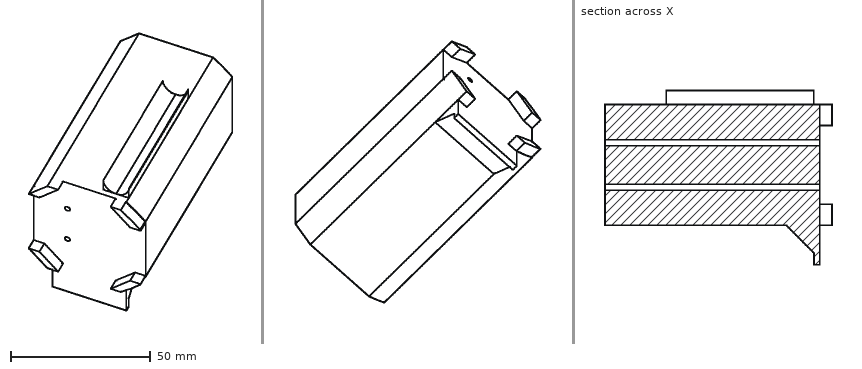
import cadquery as cq
import math

total_length = 81.5
tooth_length = 4.4
housing_length = total_length - tooth_length
housing_width = 43.97
housing_height = 43.47
flat_width = 29.04
left_chamfer = 7.38
right_chamfer_drop = 7.1
bend_run = 3.9
bend_drop = 3.4

left_flat_x = -flat_width / 2
right_flat_x = flat_width / 2
left_x = left_flat_x - left_chamfer
right_x = left_x + housing_width
top_z = housing_height / 2

tooth_thickness = 3.0
tooth_offset = tooth_thickness * math.sqrt(2)
right_tooth_drop = 7.62
tooth_inset = 0.25
first_bend_run = 1.95
first_bend_drop = 2.1
second_bend_run = 3.6

bracket_drop = 14.14
plate_thickness = 2.15
gusset_size = 9.85

hole_diameter = 2.0
hole_side_offset = 13.3
hole_top_offset = 13.75
hole_spacing = 16.0
hole_x = left_x + hole_side_offset
upper_hole_z = top_z - hole_top_offset

cradle_radius = 5.0
cradle_length = 53.0
cradle_front_y = plate_thickness
cradle_x = right_flat_x - cradle_radius


def extrude_along_y(points, front_y, length):
    """Extrude a closed XZ outline backward from front_y."""
    outline = cq.Workplane("XZ", origin=(0, front_y, 0)).polyline(points).close()
    return outline.extrude(-length)


def flip_z(points):
    """Mirror an XZ outline about Z = 0."""
    return [(x, -z) for x, z in points]


def make_block():
    upper_half = [
        (left_x, top_z - left_chamfer),
        (left_flat_x, top_z),
        (right_flat_x, top_z),
        (right_flat_x + bend_run, top_z - bend_drop),
        (right_x, top_z - right_chamfer_drop),
    ]
    return extrude_along_y(upper_half + flip_z(upper_half)[::-1], 0, housing_length)


def make_teeth():
    left_tooth = [
        (left_flat_x, top_z),
        (left_flat_x + tooth_offset, top_z),
        (left_x + tooth_offset, top_z - left_chamfer),
        (left_x, top_z - left_chamfer),
    ]
    right_tooth = [
        (right_flat_x - tooth_offset, top_z),
        (right_flat_x - tooth_inset, top_z),
        (right_flat_x, top_z - tooth_inset),
        (right_flat_x + first_bend_run, top_z - first_bend_drop),
        (right_flat_x + second_bend_run, top_z - bend_drop),
        (right_x - tooth_inset, top_z - right_chamfer_drop),
        (right_x, top_z - right_tooth_drop),
        (right_flat_x - tooth_offset + right_tooth_drop, top_z - right_tooth_drop),
    ]
    outlines = [left_tooth, flip_z(left_tooth), right_tooth, flip_z(right_tooth)]
    return [extrude_along_y(outline, -tooth_length, tooth_length) for outline in outlines]


def make_bracket():
    bottom_z = -top_z - bracket_drop
    profile = [
        (0, -top_z),
        (0, bottom_z),
        (plate_thickness, bottom_z),
        (plate_thickness, -top_z - gusset_size),
        (plate_thickness + gusset_size, -top_z),
    ]
    return cq.Workplane("YZ", origin=(left_flat_x, 0, 0)).polyline(profile).close().extrude(flat_width)


def make_holes():
    centres = [(hole_x, upper_hole_z), (hole_x, upper_hole_z - hole_spacing)]
    return cq.Workplane("XZ").pushPoints(centres).circle(hole_diameter / 2).extrude(-housing_length)


def make_housing():
    housing = make_block().union(make_bracket())
    for tooth in make_teeth():
        housing = housing.union(tooth)
    return housing.cut(make_holes())


def make_cradle_rail(side):
    """Build one rail of the trough; side is -1 for left and +1 for right."""
    arc_reach = cradle_radius * math.sin(math.pi / 4)
    arc_rise = cradle_radius - arc_reach
    return (
        cq.Workplane("XZ", origin=(cradle_x, cradle_front_y, top_z))
        .moveTo(0, 0)
        .lineTo(side * cradle_radius, 0)
        .lineTo(side * cradle_radius, cradle_radius)
        .threePointArc((side * arc_reach, arc_rise), (0, 0))
        .close()
        .extrude(-cradle_length)
    )


housing = make_housing()
cradle_rails = [make_cradle_rail(side) for side in (-1, 1)]

result = cq.Compound.makeCompound([housing.solids().val(), *[rail.val() for rail in cradle_rails]])